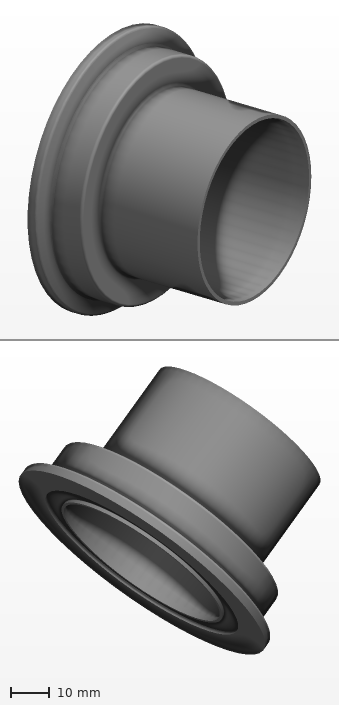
import cadquery as cq
import math

total_length = 44.5
flange_radius = 77.5 / 2
collar_radius = 67.5 / 2
tube_radius = 51.0 / 2
bore_radius = 49.0 / 2

flange_rim_width = 2.65
flange_back_angle = 15.0
collar_end = 13.65

groove_outer_radius = 30.3
lip_radius = 25.3
groove_depth = 1.0

corner_radius = 0.8

match_tolerance = 1e-4

flange_back_length = (flange_radius - collar_radius) * math.tan(math.radians(flange_back_angle))
collar_start = flange_rim_width + flange_back_length


def revolve_about_x(profile):
    """Turn a closed profile (axial position, radius) into a full ring about X."""
    return profile.revolve(360, (0, 0, 0), (1, 0, 0))


def ring(inner_radius, outer_radius, length):
    """Straight ring that starts at the flange face."""
    return cq.Workplane("YZ").circle(outer_radius).circle(inner_radius).extrude(length)


def circle_at(body, position, radius):
    """Circular edge of the body with the given axial position and radius."""
    for edge in body.edges("%CIRCLE").vals():
        center = edge.arcCenter()
        if math.isclose(center.x, position, abs_tol=match_tolerance) and math.isclose(edge.radius(), radius):
            return edge
    raise ValueError("no circular edge at that position and radius")


def flanged_body():
    """Flange, collar and tube as one turned body with rounded corners."""
    profile = (
        cq.Workplane("XY")
        .moveTo(0, bore_radius)
        .lineTo(0, flange_radius)
        .lineTo(flange_rim_width, flange_radius)
        .lineTo(collar_start, collar_radius)
        .lineTo(collar_end, collar_radius)
        .lineTo(collar_end, tube_radius)
        .lineTo(total_length, tube_radius)
        .lineTo(total_length, bore_radius)
        .close()
    )
    rounded_corners = (
        (flange_rim_width, flange_radius),
        (collar_start, collar_radius),
        (collar_end, collar_radius),
        (collar_end, tube_radius),
    )
    body = revolve_about_x(profile)
    corner_edges = [circle_at(body, position, radius) for position, radius in rounded_corners]
    return body.newObject(corner_edges).fillet(corner_radius)


result = flanged_body().cut(ring(lip_radius, groove_outer_radius, groove_depth))